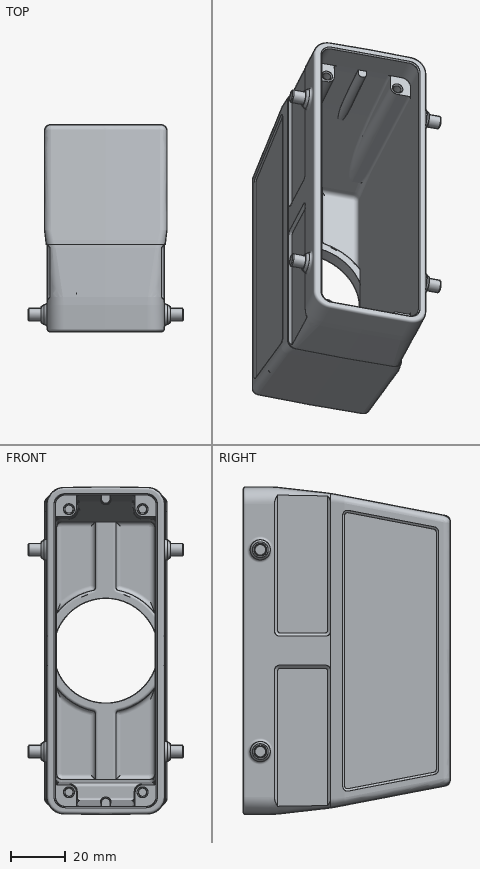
import cadquery as cq
import math


depth = 76.0
rim_half_height = 60.1
rim_half_width = 21.5
shoulder_half_width = 21.85
back_half_width = 22.5
rim_corner_radius = 6.2
neck_corner_radius = 3.0
back_corner_radius = 2.5
end_crown = 0.3
front_bend_y = 11.2
middle_bend_y = 32.1
shoulder_y = 37.3
front_slope = 6.5
back_slope = 10.9
bend_blend = 1.4
back_edge_radius = 2.4
rim_edge_radius = 1.0

end_wall = 3.0
back_wall = 5.0
cavity_rim_half_width = 18.5
cavity_back_half_width = 18.0
cavity_rim_corner_radius = 3.7
cavity_back_corner_radius = 2.0
cavity_edge_chamfer = 0.5
cavity_back_y = depth - back_wall

opening_radius = 19.2
opening_ring_radius = 22.6
rib_half_width = 3.8
pocket_depth = 3.0
pocket_floor_radius = 1.8
pocket_rim_radius = 1.0
pocket_corner_radius = 1.0

recess_depth = 1.0
recess_start_y = 11.5
recess_end_y = middle_bend_y
recess_inner_z = 5.3
recess_overrun = 10.0
recess_corner_radius = 2.0
recess_wall_taper = 50.0

panel_depth = 0.5
panel_start_y = 36.3
panel_end_y = 71.7
panel_end_margin = 5.0
panel_corner_radius = 2.0
panel_wall_taper = 60.0

pin_y = 6.3
pin_z = 37.0
pin_radius = 2.35
pin_tip_x = 28.5
pin_chamfer = 0.4
pin_collar_x = 23.7
pin_collar_radius = 2.9
pin_root_x = 22.6
pin_root_radius = 3.7

post_front_y = 10.0
post_radius = 2.7
post_taper = 1.05
post_base_radius = 0.8
screw_x = 13.5
screw_z = 51.9
screw_radius = 1.5
screw_chamfer = 0.5
screw_depth = 15.0
web_front_y = 31.0
web_foot_radius = 1.0
web_top_radius = 1.2
key_front_y = 10.0
key_radius = 1.6
key_taper = 1.2
key_end_y = 42.0
key_z = 55.7


def sharp_half_height(y):
    """Half height of the shell at its middle, at distance y from the rim, without bend blends."""
    front_run = min(max(y - front_bend_y, 0.0), middle_bend_y - front_bend_y)
    back_run = max(y - middle_bend_y, 0.0)
    front_drop = front_run * math.tan(math.radians(front_slope))
    back_drop = back_run * math.tan(math.radians(back_slope))
    return rim_half_height - front_drop - back_drop


def half_height(y):
    """Half height of the shell at its middle, with a short flat across each bend."""
    for bend_y in (front_bend_y, middle_bend_y):
        if abs(y - bend_y) < bend_blend:
            start = sharp_half_height(bend_y - bend_blend)
            end = sharp_half_height(bend_y + bend_blend)
            return between(start, end, (y - bend_y + bend_blend) / (2 * bend_blend))
    return sharp_half_height(y)


def between(start, end, fraction):
    return start + (end - start) * fraction


def section(y, half_width, height, radius, crown=end_crown):
    """Rounded outline across Y; its ends fall by the crown from X = 0 to the corners."""
    corner_z = height - crown
    points = [
        (half_width, -corner_z),
        (half_width, corner_z),
        (-half_width, corner_z),
        (-half_width, -corner_z),
    ]
    if crown:
        points.insert(2, (0, height))
        points.append((0, -height))
    outline = cq.Wire.makePolygon([cq.Vector(x, y, z) for x, z in points], close=True)
    corners = [vertex for vertex in outline.Vertices() if abs(vertex.X) > half_width / 2]
    return outline.fillet2D(radius, corners)


def loft(sections):
    return cq.Workplane(obj=cq.Solid.makeLoft(sections, True))


def make_shell():
    sloped_length = middle_bend_y - front_bend_y

    def front_section(y):
        slope_fraction = max(y - front_bend_y, 0) / sloped_length
        radius = between(rim_corner_radius, neck_corner_radius, slope_fraction)
        return section(y, rim_half_width, half_height(y), radius)

    front = loft([
        front_section(0),
        front_section(front_bend_y - bend_blend),
        front_section(front_bend_y + bend_blend),
        front_section(middle_bend_y - bend_blend),
        front_section(middle_bend_y),
    ])

    def back_section(y):
        widening = min((y - middle_bend_y) / (shoulder_y - middle_bend_y), 1)
        half_width = between(shoulder_half_width, back_half_width, widening)
        radius = between(neck_corner_radius, back_corner_radius, widening)
        return section(y, half_width, half_height(y), radius)

    back = loft([
        back_section(middle_bend_y),
        back_section(middle_bend_y + bend_blend),
        back_section(shoulder_y),
        back_section(depth),
    ])
    front = front.faces("<Y").edges().fillet(rim_edge_radius)
    back = back.faces(">Y").edges().fillet(back_edge_radius)
    return front.union(back)


def make_cavity():
    """Space inside the shell, widened by a chamfer at the rim."""
    def inner_section(y):
        fraction = y / cavity_back_y
        half_width = between(cavity_rim_half_width, cavity_back_half_width, fraction)
        radius = between(cavity_rim_corner_radius, cavity_back_corner_radius, fraction)
        return section(y, half_width, half_height(y) - end_wall, radius, crown=0)

    rim_section = section(
        0,
        cavity_rim_half_width + cavity_edge_chamfer,
        half_height(0) - end_wall + cavity_edge_chamfer,
        cavity_rim_corner_radius + cavity_edge_chamfer,
        crown=0,
    )
    stations = [
        cavity_edge_chamfer,
        front_bend_y - bend_blend,
        front_bend_y + bend_blend,
        middle_bend_y - bend_blend,
        middle_bend_y + bend_blend,
        cavity_back_y,
    ]
    return loft([rim_section] + [inner_section(y) for y in stations])


def make_pockets():
    """Four hollows in the back wall, leaving a ring round the opening and a rib on X = 0."""
    pocket_height = half_height(cavity_back_y) - end_wall
    land = (
        cq.Workplane("XZ", origin=(0, cavity_back_y, 0))
        .circle(opening_ring_radius)
        .extrude(-pocket_depth)
        .union(
            cq.Workplane("XY")
            .box(2 * rib_half_width, pocket_depth, 2 * rim_half_height, centered=(True, False, True))
            .translate((0, cavity_back_y, 0))
        )
    )
    junctions = cq.selectors.BoxSelector(
        (-back_half_width, 0, -opening_ring_radius), (back_half_width, depth, opening_ring_radius)
    )
    land = land.edges("|Y").edges(junctions).fillet(pocket_corner_radius)
    land = land.faces("<Y").edges().fillet(pocket_rim_radius)
    pockets = (
        cq.Workplane("XY")
        .box(2 * cavity_back_half_width, pocket_depth, 2 * pocket_height, centered=(True, False, True))
        .translate((0, cavity_back_y, 0))
        .edges("|Y")
        .fillet(cavity_back_corner_radius)
        .cut(land)
    )
    return pockets.faces(">Y").edges().fillet(pocket_floor_radius)


def side_plane(x):
    """Sketch plane on the -X side: local x is Z and local y is Y, the normal points outward."""
    return cq.Plane(origin=(x, 0, 0), xDir=(0, 0, 1), normal=(-1, 0, 0))


def both_sides(body):
    return body.union(body.mirror("YZ"))


def make_side_recesses():
    outer_z = rim_half_height + recess_overrun
    middle_y = (recess_start_y + recess_end_y) / 2
    recess = (
        cq.Workplane(side_plane(-rim_half_width))
        .center((recess_inner_z + outer_z) / 2, middle_y)
        .sketch()
        .rect(outer_z - recess_inner_z, recess_end_y - recess_start_y)
        .vertices()
        .fillet(recess_corner_radius)
        .finalize()
        .extrude(-recess_depth, taper=recess_wall_taper)
    )
    return both_sides(recess.union(recess.mirror("XY")))


def make_side_panels():
    start_z = half_height(panel_start_y) - panel_end_margin
    end_z = half_height(panel_end_y) - panel_end_margin
    panel = (
        cq.Workplane(side_plane(-back_half_width))
        .sketch()
        .polygon([
            (-start_z, panel_start_y),
            (start_z, panel_start_y),
            (end_z, panel_end_y),
            (-end_z, panel_end_y),
            (-start_z, panel_start_y),
        ])
        .vertices()
        .fillet(panel_corner_radius)
        .finalize()
        .extrude(-panel_depth, taper=panel_wall_taper)
    )
    return both_sides(panel)


def make_pin():
    """One pin on the +X side, revolved about its axis along X."""
    root_x = (rim_half_width + cavity_rim_half_width) / 2
    fillet_radius = pin_root_x - rim_half_width
    fillet_bow = fillet_radius * (1 - math.sqrt(0.5))
    base_radius = pin_root_radius + fillet_radius
    return (
        cq.Workplane("XY")
        .moveTo(root_x, 0)
        .lineTo(root_x, base_radius)
        .lineTo(rim_half_width, base_radius)
        .threePointArc(
            (rim_half_width + fillet_bow, pin_root_radius + fillet_bow),
            (pin_root_x, pin_root_radius),
        )
        .lineTo(pin_collar_x, pin_collar_radius)
        .lineTo(pin_collar_x, pin_radius)
        .lineTo(pin_tip_x - pin_chamfer, pin_radius)
        .lineTo(pin_tip_x, pin_radius - pin_chamfer)
        .lineTo(pin_tip_x, 0)
        .close()
        .revolve(360, (0, 0, 0), (1, 0, 0))
    )


def make_web():
    """Block that fills the gap between the two lower posts from web_front_y to the back wall."""
    front_rise = (web_front_y - post_front_y) * math.tan(math.radians(post_taper))
    back_rise = (depth - post_front_y) * math.tan(math.radians(post_taper))
    top_z = post_radius - screw_z
    floor_z = end_wall - half_height(web_front_y - web_foot_radius)
    foot_bow = web_foot_radius * (1 - math.sqrt(0.5))
    web = (
        cq.Workplane("YZ", origin=(-screw_x, 0, 0))
        .moveTo(web_front_y - web_foot_radius, floor_z)
        .threePointArc(
            (web_front_y - foot_bow, floor_z + foot_bow),
            (web_front_y, floor_z + web_foot_radius),
        )
        .lineTo(web_front_y, top_z + front_rise)
        .lineTo(depth, top_z + back_rise)
        .lineTo(depth, -rim_half_height)
        .lineTo(web_front_y - web_foot_radius, -rim_half_height)
        .close()
        .extrude(2 * screw_x)
    )
    front_top_edge = cq.selectors.NearestToPointSelector((0, web_front_y, top_z + front_rise))
    return web.edges(front_top_edge).fillet(web_top_radius)


def make_posts():
    """Screw posts in the four cavity corners, a half-round key at each end and the lower web."""
    post_width = rim_half_width - screw_x + post_radius
    post_height = rim_half_height - screw_z + post_radius
    arc_inset = post_radius * (1 - math.sqrt(0.5))
    key_height = rim_half_height - end_wall / 2 - key_z
    post = (
        cq.Workplane("XZ", origin=(screw_x - post_radius, post_front_y, screw_z - post_radius))
        .moveTo(0, post_radius)
        .threePointArc((arc_inset, arc_inset), (post_radius, 0))
        .lineTo(post_width, 0)
        .lineTo(post_width, post_height)
        .lineTo(0, post_height)
        .close()
        .extrude(post_front_y - depth, taper=-post_taper)
    )
    key = (
        cq.Workplane("XZ", origin=(0, key_front_y, key_z))
        .moveTo(-key_radius, 0)
        .threePointArc((0, -key_radius), (key_radius, 0))
        .lineTo(key_radius, key_height)
        .lineTo(-key_radius, key_height)
        .close()
        .extrude(key_front_y - key_end_y, taper=-key_taper)
    )
    upper = post.union(post.mirror("YZ")).union(key)
    return upper.union(upper.mirror("XY")).union(make_web())


def make_screw_holes():
    holes = cq.Workplane("XY")
    for x in (-screw_x, screw_x):
        for z in (-screw_z, screw_z):
            start = cq.Workplane("XZ", origin=(x, post_front_y, z))
            hole = start.circle(screw_radius).extrude(-screw_depth)
            countersink = cq.Workplane(obj=cq.Solid.makeCone(
                screw_radius + screw_chamfer,
                screw_radius,
                screw_chamfer,
                cq.Vector(x, post_front_y, z),
                cq.Vector(0, 1, 0),
            ))
            holes = holes.add(hole).add(countersink)
    return holes.combine()


def round_post_bases(hollow):
    """Fillet the long inner corners where the posts meet the side walls and the end walls."""
    side_reach = 1.5
    post_top_z = screw_z - post_radius
    post_side_x = screw_x - post_radius

    def is_post_base(edge):
        box = edge.BoundingBox()
        middle = edge.Center()
        x, z = abs(middle.x), abs(middle.z)
        lengthwise = box.ymin > post_front_y - side_reach and box.ylen > side_reach
        on_side_wall = x > cavity_back_half_width - side_reach and abs(z - post_top_z) < 2 * side_reach
        end_wall_z = half_height(middle.y) - end_wall
        on_end_wall = abs(x - post_side_x) < side_reach and abs(z - end_wall_z) < side_reach / 2
        before_web = middle.y < web_front_y + side_reach
        return lengthwise and (on_side_wall or (on_end_wall and before_web))

    edges = [edge for edge in hollow.edges().vals() if is_post_base(edge)]
    return cq.Workplane(obj=hollow.val().fillet(post_base_radius, edges))


shell = make_shell().cut(make_side_recesses()).cut(make_side_panels())
posts = make_posts()
body = shell.cut(round_post_bases(make_cavity().cut(posts)))
body = body.cut(make_pockets().cut(posts))
body = body.cut(make_screw_holes())
opening = cq.Workplane("XZ", origin=(0, cavity_back_y, 0)).circle(opening_radius).extrude(-back_wall)
body = body.cut(opening)
pin = make_pin()
for z in (-pin_z, pin_z):
    body = body.union(both_sides(pin.translate((0, pin_y, z))))
result = cq.Workplane(obj=body.solids().val())